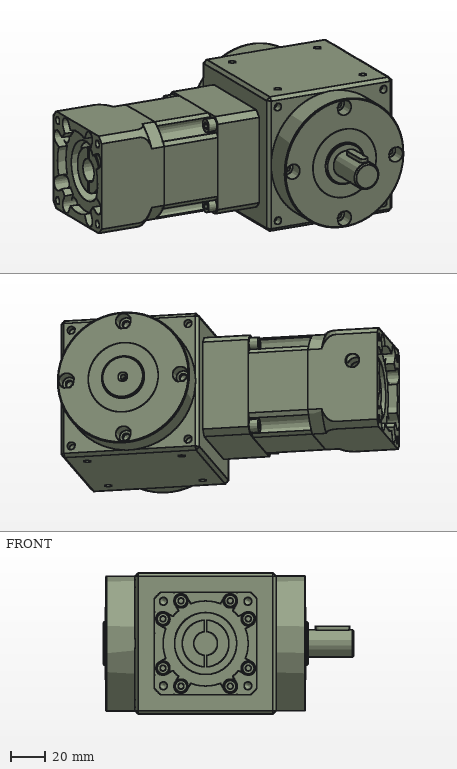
import cadquery as cq
import math


overall_length = 187.7

cube_side = 83.0
cube_half = cube_side / 2
cube_chamfer = 2.0
flange_radius = 39.6
flange_face = 58.5
flange_chamfer = 0.5
seal_radius = 21.0
seal_height = 0.2
flange_bolt_radius = 34.2
flange_counterbore_radius = 4.5
flange_counterbore_depth = 13.1
side_hole_offset = 35.1
side_hole_radius = 2.3
top_hole_offset = 28.3
top_hole_radius = 2.0
tapped_depth = 5.6

head_radius = 4.0
head_height = 5.3
flange_socket_radius = 2.3
hex_across_corners = 4.1
hex_depth = 2.6

boss_radius = 12.8
boss_face = 60.0
boss_chamfer = 0.8
shaft_radius = 8.0
shaft_end = 86.9
shaft_chamfer = 1.0
key_length = 20.0
key_width = 5.0
key_top = 10.1
key_end_gap = 2.5
centre_hole_radius = 1.5
centre_hole_depth = 7.5
centre_sink_radius = 2.8
centre_sink_depth = 1.1

square_side = 60.0
square_half = square_side / 2
corner_radius = 40.0
waist_radius = 35.1
neck_length = 27.4
ring_length = 35.7
bolt_offset = 24.8
groove_radius = 5.3
neck_start = -cube_half
ring_start = neck_start - neck_length
adapter_start = ring_start - ring_length
motor_face = cube_half - overall_length
waist_length = 8.3
shoulder_length = 8.5

pilot_radius = 25.0
pilot_depth = 5.6
clamp_gap_radius = 18.2
clamp_hub_radius = 13.7
clamp_hub_face_depth = 7.3
clamp_gap_depth = 32.0
motor_bore_radius = 7.0
clamp_slit = 1.5
motor_hole_radius = 2.3
screw_circle_radius = 28.9
screw_pocket_radius = 4.1
screw_pocket_depth = 30.0
adapter_head_radius = 3.4
adapter_socket_radius = 1.7
socket_depth = 2.6
access_radius = 4.1
access_from_face = 15.0
access_height = 10.1

SIGNS = (-1, 1)
CORNERS = [(x, z) for x in SIGNS for z in SIGNS]
DRILL_SLOPE = math.tan(math.radians(30))


def rod(start, direction, length, radius):
    """Cylinder that begins at a point and follows a direction."""
    return cq.Workplane(cq.Solid.makeCylinder(radius, length, cq.Vector(*start), cq.Vector(*direction)))


def drill(start, direction, depth, radius):
    """Cutter for a blind hole with a conical tip."""
    axis = cq.Vector(*direction)
    tip_start = cq.Vector(*start) + axis * depth
    tip = cq.Solid.makeCone(radius, 0, radius * DRILL_SLOPE, tip_start, axis)
    return rod(start, direction, depth, radius).union(cq.Workplane(tip))


def square_bar(start_y, end_y):
    """Square bar along Y between two stations, with sharp corners."""
    length = start_y - end_y
    return cq.Workplane("XY").box(square_side, length, square_side).translate((0, start_y - length / 2, 0))


def rounded_bar(start_y, end_y, radius):
    """Square bar along Y whose corners lie on a cylinder."""
    return square_bar(start_y, end_y).intersect(rod((0, start_y, 0), (0, -1, 0), start_y - end_y, radius))


def make_flange(side):
    """Round flange on the -X or +X side, with its seal rim."""
    flange = rod((0, 0, 0), (side, 0, 0), flange_face, flange_radius)
    flange = flange.faces(">X" if side > 0 else "<X").chamfer(flange_chamfer)
    rim = rod((0, 0, 0), (side, 0, 0), flange_face + seal_height, seal_radius)
    return flange.union(rim)


def add_flange_screws(body, side):
    """Four cap screws, each sunk in a counterbore of the flange."""
    floor = side * (flange_face - flange_counterbore_depth)
    head_top = floor + side * head_height
    for dy, dz in ((1, 0), (0, 1), (-1, 0), (0, -1)):
        y = dy * flange_bolt_radius
        z = dz * flange_bolt_radius
        body = body.cut(rod((floor, y, z), (side, 0, 0), flange_counterbore_depth, flange_counterbore_radius))
        body = body.union(rod((floor, y, z), (side, 0, 0), head_height, head_radius))
        body = body.cut(drill((head_top, y, z), (-side, 0, 0), socket_depth, flange_socket_radius))
    return body


def make_housing():
    housing = cq.Workplane("XY").box(cube_side, cube_side, cube_side).edges().chamfer(cube_chamfer)
    for side in SIGNS:
        housing = housing.union(make_flange(side))
    for side in SIGNS:
        housing = add_flange_screws(housing, side)
        face = side * cube_half
        for a, b in CORNERS:
            side_start = (face, a * side_hole_offset, b * side_hole_offset)
            housing = housing.cut(drill(side_start, (-side, 0, 0), tapped_depth, side_hole_radius))
            top_start = (a * top_hole_offset, b * top_hole_offset, face)
            housing = housing.cut(drill(top_start, (0, 0, -side), tapped_depth, top_hole_radius))
    return housing.cut(rod((-boss_face, 0, 0), (1, 0, 0), 2 * boss_face, boss_radius))


def make_shaft():
    """Output shaft that passes through the housing, with its key."""
    shaft = rod((-boss_face, 0, 0), (1, 0, 0), 2 * boss_face, boss_radius)
    shaft = shaft.faces("<X or >X").chamfer(boss_chamfer)
    journal = rod((0, 0, 0), (1, 0, 0), shaft_end, shaft_radius).faces(">X").chamfer(shaft_chamfer)
    key_centre = shaft_end - key_end_gap - key_length / 2
    key = cq.Workplane("XY").center(key_centre, 0).slot2D(key_length, key_width).extrude(key_top)
    shaft = shaft.union(journal).union(key)
    start = (-boss_face, 0, 0)
    inward = (1, 0, 0)
    sink = cq.Solid.makeCone(
        centre_sink_radius, centre_hole_radius, centre_sink_depth, cq.Vector(*start), cq.Vector(*inward)
    )
    shaft = shaft.cut(cq.Workplane(sink))
    return shaft.cut(drill(start, inward, centre_hole_depth, centre_hole_radius))


def make_neck():
    """Square neck with four hexagon socket heads on its -Y face."""
    neck = rounded_bar(neck_start, ring_start, corner_radius)
    head_top = ring_start - head_height
    for a, b in CORNERS:
        x = a * bolt_offset
        z = b * bolt_offset
        neck = neck.union(rod((x, ring_start, z), (0, -1, 0), head_height, head_radius))
        socket_plane = cq.Plane(origin=(x, head_top, z), xDir=(1, 0, 0), normal=(0, 1, 0))
        neck = neck.cut(cq.Workplane(socket_plane).polygon(6, hex_across_corners).extrude(hex_depth))
    return neck


def make_ring_gear():
    """Ring gear section with a screw clearance groove along each corner."""
    ring = rounded_bar(ring_start, adapter_start, waist_radius)
    for a, b in CORNERS:
        groove_start = (a * bolt_offset, ring_start, b * bolt_offset)
        ring = ring.cut(rod(groove_start, (0, -1, 0), ring_length, groove_radius))
    return ring


def make_adapter_blank():
    """Square block whose corners rise from the waist radius over a rounded shoulder."""
    rise = corner_radius - waist_radius
    shoulder_radius = (rise**2 + shoulder_length**2) / (2 * rise)
    half_angle = math.asin(shoulder_length / shoulder_radius) / 2
    waist_end = adapter_start - waist_length
    shoulder_end = waist_end - shoulder_length
    arc_middle = (
        corner_radius - shoulder_radius * (1 - math.cos(half_angle)),
        shoulder_end + shoulder_radius * math.sin(half_angle),
    )
    turned = (
        cq.Workplane("XY")
        .moveTo(0, adapter_start)
        .lineTo(waist_radius, adapter_start)
        .lineTo(waist_radius, waist_end)
        .threePointArc(arc_middle, (corner_radius, shoulder_end))
        .lineTo(corner_radius, motor_face)
        .lineTo(0, motor_face)
        .close()
        .revolve(360, (0, 0, 0), (0, 1, 0))
    )
    return square_bar(adapter_start, motor_face).intersect(turned)


def cut_clamp(adapter):
    """Pilot recess, and the slit clamping hub inside its ring gap."""
    adapter = adapter.cut(rod((0, motor_face, 0), (0, 1, 0), pilot_depth, pilot_radius))
    gap = rod((0, motor_face, 0), (0, 1, 0), clamp_gap_depth, clamp_gap_radius)
    hub_face = motor_face + clamp_hub_face_depth
    hub = rod((0, hub_face, 0), (0, 1, 0), clamp_gap_depth - clamp_hub_face_depth, clamp_hub_radius)
    slit = cq.Workplane("XY").box(clamp_slit, clamp_gap_depth, 2 * clamp_hub_radius)
    slit = slit.translate((0, motor_face + clamp_gap_depth / 2, 0))
    bore = rod((0, motor_face, 0), (0, 1, 0), clamp_gap_depth, motor_bore_radius)
    return adapter.cut(gap.cut(hub)).cut(slit).cut(bore)


def add_adapter_screw(adapter, angle):
    """Cap screw sunk in a deep pocket that opens into the pilot recess."""
    x = screw_circle_radius * math.cos(math.radians(angle))
    z = screw_circle_radius * math.sin(math.radians(angle))
    floor = motor_face + screw_pocket_depth
    slot_inner = pilot_radius - screw_pocket_radius
    slot_length = screw_circle_radius - slot_inner
    slot = cq.Workplane("XY").box(slot_length, pilot_depth, 2 * screw_pocket_radius)
    slot = slot.translate((slot_inner + slot_length / 2, motor_face + pilot_depth / 2, 0))
    slot = slot.rotate((0, 0, 0), (0, 1, 0), -angle)
    adapter = adapter.cut(slot)
    adapter = adapter.cut(rod((x, motor_face, z), (0, 1, 0), screw_pocket_depth, screw_pocket_radius))
    adapter = adapter.union(rod((x, floor, z), (0, -1, 0), head_height, adapter_head_radius))
    return adapter.cut(rod((x, floor - head_height, z), (0, 1, 0), socket_depth, adapter_socket_radius))


def make_adapter():
    adapter = cut_clamp(make_adapter_blank())
    access_start = (-square_half, motor_face + access_from_face, access_height)
    access_depth = square_half - math.sqrt(clamp_hub_radius**2 - access_height**2)
    access = rod(access_start, (1, 0, 0), access_depth, access_radius)
    hub_core = rod((0, motor_face, 0), (0, 1, 0), clamp_gap_depth, clamp_hub_radius)
    adapter = adapter.cut(access.cut(hub_core))
    for quarter in range(4):
        for angle in (30, 60):
            adapter = add_adapter_screw(adapter, 90 * quarter + angle)
    for a, b in CORNERS:
        hole_start = (a * bolt_offset, motor_face, b * bolt_offset)
        adapter = adapter.cut(drill(hole_start, (0, 1, 0), tapped_depth, motor_hole_radius))
    return adapter


housing = make_housing()
shaft = make_shaft()
neck = make_neck()
ring_gear = make_ring_gear()
adapter = make_adapter()

result = cq.Compound.makeCompound(
    [body.solids().val() for body in (housing, shaft, neck, ring_gear, adapter)]
)